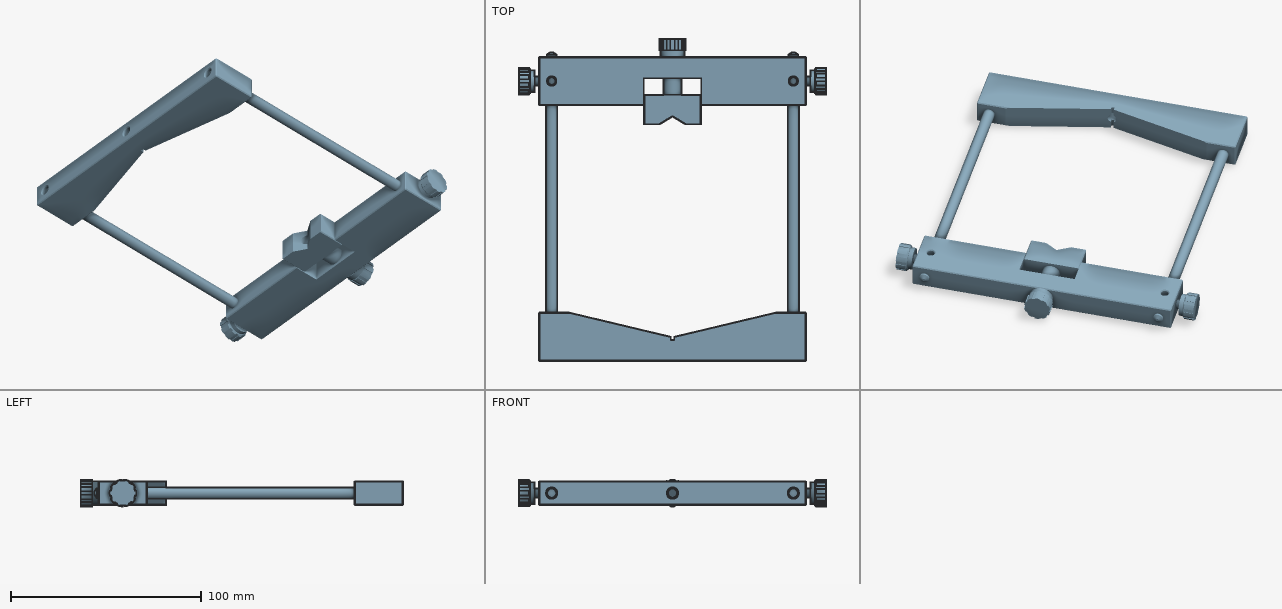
import cadquery as cq

bar_length = 140.4
bar_depth = 25.7
bar_height = 12.7
edge_chamfer = 0.5
total_depth = 169.51
total_width = 161.55

rod_diameter = 6.0
rod_spacing = 127.0
rod_neck_diameter = 5.2
rod_neck_length = 1.0
rod_tip_length = 1.2
rod_tip_diameter = 1.5
rod_recess_depth = 2.0

hole_diameter = 4.8
hole_mouth_diameter = rod_diameter
jaw_hole_diameter = 6.0
jaw_hole_depth = 4.0

vee_half_width = 54.5
vee_depth = 13.0
relief_width = 1.6
relief_floor = 11.3

jaw_width = 30.0
jaw_depth = 15.4
jaw_front = 124.6
jaw_vee_half_width = 6.8
jaw_vee_depth = 4.1
window_back = 148.7

knob_diameter = 14.19
knob_length = 6.0
flute_count = 10
flute_pitch = 360.0 / flute_count
flute_width = 1.9
flute_depth = 0.5
rear_flute_turn = 0.0
rear_collar_diameter = 12.7
rear_collar_length = 3.35
clamp_collar_diameter = 11.6
clamp_collar_length = 2.3
clamp_stem_diameter = 5.0
clamp_knob_chamfer = 0.8
right_clamp_turn = 28.6
left_clamp_turn = 0.0
screw_diameter = 9.525

pin_hole_diameter = 4.0
pin_hole_mouth_diameter = 5.0

rod_x = rod_spacing / 2
upper_back = total_depth - knob_length - rear_collar_length
upper_front = upper_back - bar_depth
clamp_y = upper_front + bar_depth / 2
jaw_back = jaw_front + jaw_depth


def cylinder(diameter, start, length, direction):
    """Cylinder of the given length, running from start along direction."""
    return cq.Workplane(cq.Solid.makeCylinder(
        diameter / 2, length, cq.Vector(*start), cq.Vector(*direction)))


def block(width, y_start, y_end):
    """Block centred on X and Z, spanning the given stretch of Y."""
    return (
        cq.Workplane("XY")
        .box(width, y_end - y_start, bar_height)
        .translate((0, (y_start + y_end) / 2, 0))
    )


def prism(points):
    """Closed XY outline extruded through the full bar height."""
    return (
        cq.Workplane("XY")
        .polyline(points)
        .close()
        .extrude(bar_height / 2, both=True)
    )


def cone(start_diameter, end_diameter, start, length, direction):
    """Cone frustum of the given length, running from start along direction."""
    return cq.Workplane(cq.Solid.makeCone(
        start_diameter / 2, end_diameter / 2, length, cq.Vector(*start), cq.Vector(*direction)))


def countersunk_hole(diameter, mouth_diameter, mouth, depth, direction):
    """Hole with a 45 degree countersink, running from its mouth along direction."""
    sink_depth = (mouth_diameter - diameter) / 2
    sink = cone(mouth_diameter, diameter, mouth, sink_depth, direction)
    return cylinder(diameter, mouth, depth, direction).union(sink)


def make_lower_bar():
    bar = block(bar_length, 0, bar_depth).edges().chamfer(edge_chamfer)
    vee = prism([
        (-vee_half_width, bar_depth),
        (0, bar_depth - vee_depth),
        (vee_half_width, bar_depth),
    ])
    relief = block(relief_width, relief_floor, bar_depth)
    bar = bar.cut(vee).cut(relief)
    for x, depth in ((-rod_x, rod_recess_depth), (0, bar_depth), (rod_x, rod_recess_depth)):
        bar = bar.cut(countersunk_hole(
            hole_diameter, hole_mouth_diameter, (x, 0, 0), depth, (0, 1, 0)))
    return bar


def make_upper_bar():
    bar = block(bar_length, upper_front, upper_back).edges().chamfer(edge_chamfer)
    bar = bar.cut(block(jaw_width, upper_front, window_back))
    for x in (-rod_x, rod_x):
        bar = bar.cut(countersunk_hole(
            pin_hole_diameter, pin_hole_mouth_diameter,
            (x, clamp_y, bar_height / 2), bar_height / 2, (0, 0, -1)))
    return bar


def make_rod(x):
    start = rod_recess_depth
    rod = cylinder(rod_diameter, (x, start, 0), upper_back - start, (0, 1, 0))
    neck = cylinder(rod_neck_diameter, (x, upper_back, 0), rod_neck_length, (0, 1, 0))
    tip_start = (x, upper_back + rod_neck_length, 0)
    tip = cone(rod_neck_diameter, rod_tip_diameter, tip_start, rod_tip_length, (0, 1, 0))
    return rod.union(neck).union(tip)


def make_jaw():
    jaw = block(jaw_width, jaw_front, jaw_back).edges("|Y").chamfer(edge_chamfer)
    vee = prism([
        (-jaw_vee_half_width, jaw_front),
        (0, jaw_front + jaw_vee_depth),
        (jaw_vee_half_width, jaw_front),
    ])
    hole_length = jaw_vee_depth + jaw_hole_depth
    hole = cylinder(jaw_hole_diameter, (0, jaw_front, 0), hole_length, (0, 1, 0))
    return jaw.cut(vee).cut(hole)


def make_knob(flute_turn, inner_chamfer=0):
    """Fluted knob head standing on the XY plane, outer face at knob_length."""
    head = cq.Workplane("XY").circle(knob_diameter / 2).extrude(knob_length)
    if inner_chamfer:
        head = head.faces("<Z").edges().chamfer(inner_chamfer)
    flute = (
        cq.Workplane("XY")
        .box(2 * flute_depth, flute_width, knob_length, centered=(True, True, False))
        .translate((knob_diameter / 2, 0, 0))
    )
    for i in range(flute_count):
        head = head.cut(flute.rotate((0, 0, 0), (0, 0, 1), flute_turn + i * flute_pitch))
    return head


def make_rear_screw():
    knob = make_knob(rear_flute_turn).rotate((0, 0, 0), (1, 0, 0), -90)
    knob = knob.translate((0, total_depth - knob_length, 0))
    collar = cylinder(rear_collar_diameter, (0, upper_back, 0), rear_collar_length, (0, 1, 0))
    shank_start = jaw_front + jaw_vee_depth + jaw_hole_depth
    shank = cylinder(screw_diameter, (0, shank_start, 0), upper_back - shank_start, (0, 1, 0))
    return knob.union(collar).union(shank)


def make_clamp_screw(side, flute_turn):
    """Side clamp screw; side is +1 for the +X end, -1 for the -X end."""
    head_x = total_width / 2 - knob_length
    collar_x = head_x - clamp_collar_length
    stem = cylinder(clamp_stem_diameter, (rod_x, 0, 0), collar_x - rod_x, (1, 0, 0))
    collar = cylinder(clamp_collar_diameter, (collar_x, 0, 0), clamp_collar_length, (1, 0, 0))
    knob = make_knob(flute_turn, clamp_knob_chamfer)
    knob = knob.rotate((0, 0, 0), (0, 1, 0), 90).translate((head_x, 0, 0))
    screw = stem.union(collar).union(knob)
    if side < 0:
        screw = screw.rotate((0, 0, 0), (0, 0, 1), 180)
    return screw.translate((0, clamp_y, 0))


result = make_lower_bar().union(make_upper_bar())
for side, flute_turn in ((-1, left_clamp_turn), (1, right_clamp_turn)):
    result = result.union(make_rod(side * rod_x))
    result = result.union(make_clamp_screw(side, flute_turn))
result = result.union(make_jaw()).union(make_rear_screw())